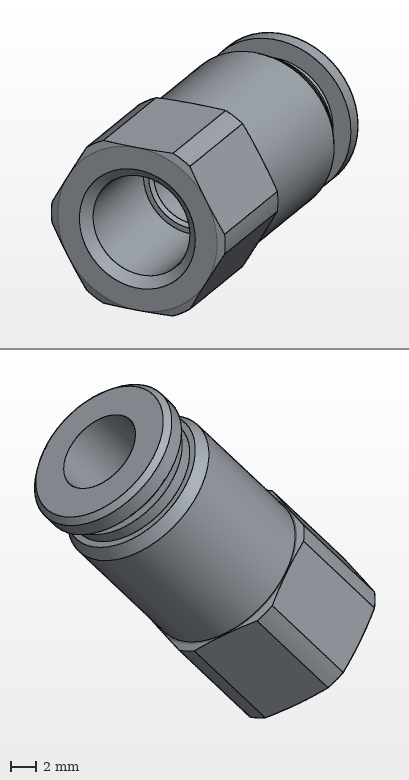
import cadquery as cq

total_length = 27.1
full_turn = 360

hex_sides = 6
hex_flats = 14.0
flat_up_rotation = 180 / hex_sides
hex_corner_diameter = 15.28
hex_length = 10.03
hex_chamfer_drop = 0.15
hex_face_radius = hex_flats / 2
hex_corner_radius = hex_corner_diameter / 2

body_radius = 6.88
body_chamfer_radius = 6.31
body_chamfer_length = 1.05
body_end = 21.82

ring_radius = 5.77
ring_end = body_end + body_chamfer_length
neck_radius = 4.9
neck_start = 23.9
flange_radius = 6.7
flange_root_radius = 5.12
flange_start = 25.28
flange_chamfer = 0.5
neck_flare_length = 0.35

through_radius = 3.5
port_radius = 4.25
port_depth = 10.03
port_mouth_radius = 5.1
port_mouth_depth = 0.75
lead_in_radius = 3.8
lead_in_depth = lead_in_radius - through_radius


def revolve_about_y(points):
    """Revolve a closed (radius, y) profile about the Y axis."""
    return cq.Workplane("XY").polyline(points).close().revolve(full_turn, (0, 0, 0), (0, 1, 0))


def make_hex_end():
    prism = (
        cq.Workplane("XZ")
        .transformed(rotate=(0, 0, flat_up_rotation))
        .polygon(hex_sides, hex_flats, circumscribed=True)
        .extrude(-hex_length)
    )
    envelope = revolve_about_y([
        (0, 0),
        (hex_face_radius, 0),
        (hex_corner_radius, hex_chamfer_drop),
        (hex_corner_radius, hex_length - hex_chamfer_drop),
        (hex_face_radius, hex_length),
        (0, hex_length),
    ])
    return prism.intersect(envelope)


def make_round_end():
    return revolve_about_y([
        (0, 0),
        (body_radius, 0),
        (body_radius, body_end),
        (body_chamfer_radius, ring_end),
        (ring_radius, ring_end),
        (ring_radius, neck_start),
        (neck_radius, neck_start),
        (neck_radius, flange_start - neck_flare_length),
        (flange_root_radius, flange_start),
        (flange_radius, flange_start),
        (flange_radius, total_length - flange_chamfer),
        (flange_radius - flange_chamfer, total_length),
        (0, total_length),
    ])


def make_bore():
    return revolve_about_y([
        (0, 0),
        (port_mouth_radius, 0),
        (port_radius, port_mouth_depth),
        (port_radius, port_depth),
        (lead_in_radius, port_depth),
        (through_radius, port_depth + lead_in_depth),
        (through_radius, total_length),
        (0, total_length),
    ])


result = make_hex_end().union(make_round_end()).cut(make_bore())